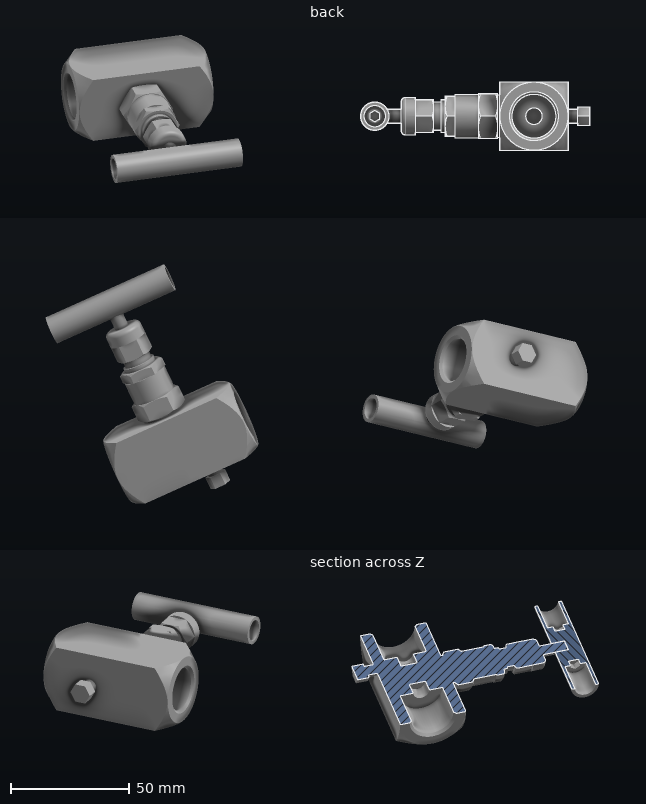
import cadquery as cq
import math


block_side = 29.1
block_length = 59.0
block_center_y = 1.5
end_circle_diameter = 28.8
port_diameter = 18.5
port_chamfer = 1.1
port_depth = 17.5
passage_diameter = 7.0
passage_depth = 5.8

bleed_y = 8.9
bleed_neck_diameter = 6.0
bleed_neck_length = 3.9
bleed_head_flats = 8.0
bleed_head_length = 5.2

collar_diameter = 18.0
collar_length = 0.8
lock_nut_flats = 19.0
lock_nut_length = 8.1
barrel_diameter = 18.5
barrel_length = 10.0
bonnet_hex_flats = 17.1
bonnet_hex_length = 4.1
ring_diameter = 14.0
ring_length = 1.8
neck_diameter = 12.0
neck_length = 3.0
gland_hex_flats = 14.0
gland_hex_length = 7.8
cap_diameter = 16.0
cap_length = 6.0
cap_fillet = 1.9
hex_chamfer_angle = 30.0

stem_diameter = 6.0
handle_x = 81.9
handle_diameter = 12.0
handle_length = 55.0
handle_bore_diameter = 9.0
handle_bore_depth = 14.55
socket_flats = 4.2
socket_depth = 2.9


def cylinder_x(diameter, start, length):
    """Cylinder on the X axis, from X = start towards +X."""
    return cq.Workplane("YZ", origin=(start, 0, 0)).circle(diameter / 2).extrude(length)


def hexagon_corners(flats):
    """Corner-to-corner width of a hexagon with the given width across flats."""
    return flats / math.cos(math.radians(30))


def hexagon_x(flats, start, length):
    """Hexagonal prism on the X axis with two flats facing +Z and -Z."""
    return cq.Workplane("YZ", origin=(start, 0, 0)).polygon(6, hexagon_corners(flats)).extrude(length)


def nut_x(flats, start, length, chamfer_start, chamfer_end):
    """Hexagonal prism whose corners are turned off by a cone at the chosen ends."""
    flat_radius = flats / 2
    corner_radius = hexagon_corners(flats) / 2
    cone_length = (corner_radius - flat_radius) * math.tan(math.radians(hex_chamfer_angle))
    end = start + length
    profile = cq.Workplane("XY").moveTo(start, 0)
    if chamfer_start:
        profile = profile.lineTo(start, flat_radius).lineTo(start + cone_length, corner_radius)
    else:
        profile = profile.lineTo(start, corner_radius)
    if chamfer_end:
        profile = profile.lineTo(end - cone_length, corner_radius).lineTo(end, flat_radius)
    else:
        profile = profile.lineTo(end, corner_radius)
    turned = profile.lineTo(end, 0).close().revolve(360, (0, 0, 0), (1, 0, 0))
    return hexagon_x(flats, start, length).intersect(turned)


def end_port():
    """Cutter for the port in the -Y end: chamfer, bore and blind inner passage."""
    port_radius = port_diameter / 2
    passage_radius = passage_diameter / 2
    face_y = block_center_y - block_length / 2
    bore_end_y = face_y + port_depth
    passage_end_y = bore_end_y + passage_depth
    axis_x = block_side / 2
    return (
        cq.Workplane("XY")
        .moveTo(axis_x, face_y)
        .lineTo(axis_x + port_radius + port_chamfer, face_y)
        .lineTo(axis_x + port_radius, face_y + port_chamfer)
        .lineTo(axis_x + port_radius, bore_end_y)
        .lineTo(axis_x + passage_radius, bore_end_y)
        .lineTo(axis_x + passage_radius, passage_end_y)
        .lineTo(axis_x, passage_end_y)
        .close()
        .revolve(360, (axis_x, 0, 0), (axis_x, 1, 0))
    )


def build_block():
    """Square bar with both ends turned to 45 degree cones and a port in each end."""
    axis_x = block_side / 2
    end_radius = end_circle_diameter / 2
    corner_radius = block_side / math.sqrt(2)
    half_length = block_length / 2
    cone_length = corner_radius - end_radius
    bar = cq.Workplane("XY").box(block_side, block_length, block_side)
    turned = (
        cq.Workplane("XY")
        .moveTo(0, -half_length)
        .lineTo(end_radius, -half_length)
        .lineTo(corner_radius, cone_length - half_length)
        .lineTo(corner_radius, half_length - cone_length)
        .lineTo(end_radius, half_length)
        .lineTo(0, half_length)
        .close()
        .revolve(360, (0, 0, 0), (0, 1, 0))
    )
    block = bar.intersect(turned).translate((axis_x, block_center_y, 0))
    near_port = end_port()
    far_port = near_port.mirror("XZ", (0, block_center_y, 0))
    return block.cut(near_port).cut(far_port)


def build_bleed_screw():
    """Neck and hexagon head standing out of the block's -X face."""
    neck = cylinder_x(bleed_neck_diameter, -bleed_neck_length, bleed_neck_length)
    head = hexagon_x(bleed_head_flats, -bleed_neck_length - bleed_head_length, bleed_head_length)
    return neck.union(head).translate((0, bleed_y, 0))


def build_bonnet():
    """Stepped bonnet from the block's +X face to the rounded cap, ending in the stem."""
    lock_nut_x = block_side + collar_length
    barrel_x = lock_nut_x + lock_nut_length
    bonnet_hex_x = barrel_x + barrel_length
    ring_x = bonnet_hex_x + bonnet_hex_length
    neck_x = ring_x + ring_length
    gland_hex_x = neck_x + neck_length
    cap_x = gland_hex_x + gland_hex_length
    stem_x = cap_x + cap_length
    cap = cylinder_x(cap_diameter, cap_x, cap_length).faces(">X").edges().fillet(cap_fillet)
    return (
        cylinder_x(collar_diameter, block_side, collar_length)
        .union(nut_x(lock_nut_flats, lock_nut_x, lock_nut_length, True, True))
        .union(cylinder_x(barrel_diameter, barrel_x, barrel_length))
        .union(nut_x(bonnet_hex_flats, bonnet_hex_x, bonnet_hex_length, False, True))
        .union(cylinder_x(ring_diameter, ring_x, ring_length))
        .union(cylinder_x(neck_diameter, neck_x, neck_length))
        .union(nut_x(gland_hex_flats, gland_hex_x, gland_hex_length, True, False))
        .union(cap)
        .union(cylinder_x(stem_diameter, stem_x, handle_x - stem_x))
    )


def build_valve():
    """Block, bleed screw, bonnet and stem as one body."""
    return build_block().union(build_bleed_screw()).union(build_bonnet())


def build_handle():
    """Cross bar along Y: a bore with a hexagon socket in each end, and a blind hole for the stem."""
    half_length = handle_length / 2
    floor_y = half_length - handle_bore_depth
    bar = (
        cq.Workplane("XZ", origin=(handle_x, half_length, 0))
        .circle(handle_diameter / 2)
        .extrude(handle_length)
    )
    bore = (
        cq.Workplane("XZ", origin=(handle_x, -floor_y, 0))
        .circle(handle_bore_diameter / 2)
        .extrude(handle_bore_depth)
    )
    socket = (
        cq.Workplane("XZ", origin=(handle_x, -floor_y + socket_depth, 0))
        .transformed(rotate=(0, 0, 90))
        .polygon(6, hexagon_corners(socket_flats))
        .extrude(socket_depth)
    )
    end_recess = bore.union(socket)
    stem_hole = cylinder_x(stem_diameter, handle_x - handle_diameter / 2, handle_diameter / 2)
    return bar.cut(end_recess).cut(end_recess.mirror("XZ")).cut(stem_hole)


valve = build_valve()
handle = build_handle()

result = cq.Compound.makeCompound([valve.val(), handle.val()])